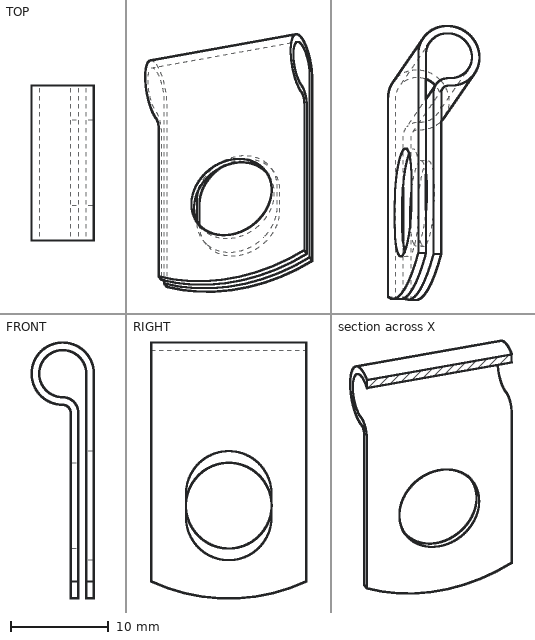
import cadquery as cq

height = 26.2
width = 15.88
loop_diameter = 6.4
hole_diameter = 8.75
hole_height = 9.5
slot_straight = 2.4
end_sag = 1.75

loop_outer = loop_diameter / 2
thickness = loop_outer / 4
loop_inner = loop_outer - thickness

bend_inner = thickness
bend_outer = bend_inner + thickness
bend_z = -loop_outer - bend_inner
bottom_z = loop_outer - height
hole_z = bottom_z + hole_height
gap_middle_x = (bend_outer + loop_inner) / 2
diagonal = 0.5 ** 0.5


def make_strip():
    """Bent strip, with the loop axis along Y through the origin."""
    return (
        cq.Workplane("XZ")
        .moveTo(loop_outer, bottom_z)
        .lineTo(loop_outer, 0)
        .threePointArc((-loop_outer * diagonal, loop_outer * diagonal), (0, -loop_outer))
        .threePointArc(
            (bend_inner * diagonal, bend_z + bend_inner * diagonal),
            (bend_inner, bend_z),
        )
        .lineTo(bend_inner, bottom_z)
        .lineTo(bend_outer, bottom_z)
        .lineTo(bend_outer, bend_z)
        .threePointArc(
            (bend_outer * diagonal, bend_z + bend_outer * diagonal),
            (0, -loop_inner),
        )
        .threePointArc((-loop_inner * diagonal, loop_inner * diagonal), (loop_inner, 0))
        .lineTo(loop_inner, bottom_z)
        .close()
        .extrude(width / 2, both=True)
    )


def make_end_envelope():
    """Block whose curved underside rounds the ends of both legs."""
    corner_z = bottom_z + end_sag
    return (
        cq.Workplane("YZ")
        .moveTo(-width / 2, loop_outer)
        .lineTo(-width / 2, corner_z)
        .threePointArc((0, bottom_z), (width / 2, corner_z))
        .lineTo(width / 2, loop_outer)
        .close()
        .extrude(loop_outer, both=True)
    )


def make_round_hole():
    """Round mounting hole through the short leg."""
    return (
        cq.Workplane("YZ", origin=(0, 0, hole_z))
        .circle(hole_diameter / 2)
        .extrude(gap_middle_x)
    )


def make_slot():
    """Upright slot through the long leg, as wide as the round hole and centred on it."""
    return (
        cq.Workplane("YZ", origin=(gap_middle_x, 0, hole_z))
        .slot2D(hole_diameter + slot_straight, hole_diameter, 90)
        .extrude(loop_outer - gap_middle_x)
    )


result = make_strip().intersect(make_end_envelope()).cut(make_round_hole()).cut(make_slot())